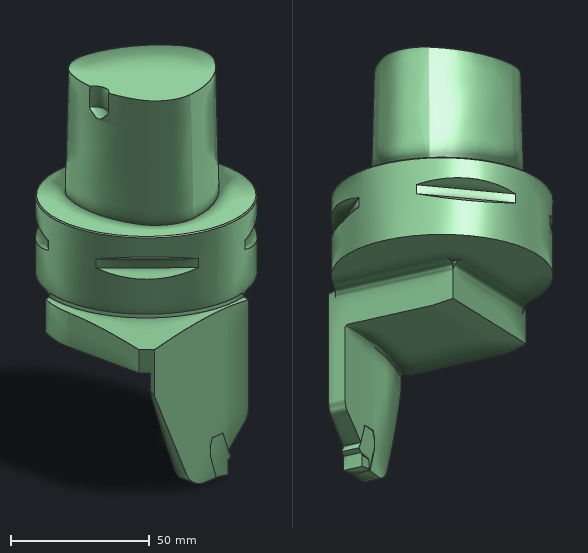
import cadquery as cq
import math


FLANGE_DIAMETER = 80.0
FLANGE_RADIUS = FLANGE_DIAMETER / 2
FLANGE_HEIGHT = 30.2
FLANGE_CHAMFER = 0.5

GROOVE_LEVEL = -12.2
GROOVE_DEPTH = 4.5
GROOVE_FLOOR_HEIGHT = 3.5
GROOVE_MOUTH_HEIGHT = 8.7
GROOVE_ANGLES = (45, 135, 225, 315)

SHANK_HEIGHT = 48.0
LOBE_COUNT = 3
LOBE_CENTRE_DISTANCE = 12.2
LOBE_BASE_RADIUS = 17.4
VALLEY_CENTRE_DISTANCE = 18.7
SHANK_TAPER_INSET = 1.2
KEY_RADIUS = 5.5
KEY_DEPTH = 8.1
KEY_AXIS_Y = -27.1

BRACKET_LEFT = -10.7
BRACKET_BACK = 10.2
BRACKET_FRONT = -43.5
BRACKET_RIGHT_BACK = 41.6
BRACKET_RIGHT_FRONT = 43.0
BRACKET_CORNER_CHAMFER = 4.0
BRACKET_BOTTOM = -45.5
BRACKET_LEFT_BOTTOM = -44.7
BRACKET_RISE_RUN = 8.7
FRONT_ARC_RADIUS = FLANGE_RADIUS
FRONT_ARC_CENTRE_X = 3.3
COLLAR_RADIUS = 40.6
COLLAR_HEIGHT = 1.2
CONE_OUTER_RADIUS = 61.0
CONE_ANGLE = 16.0
ROOT_FILLET = 3.8

BLADE_INNER_X = 34.2
BLADE_INNER_RADIUS = 116.1
BLADE_BOTTOM = -96.3
BLADE_FRONT = -40.5
BLADE_FRONT_CORNER_Z = -52.7
BLADE_FOOT_FRONT = -19.6
BLADE_BACK_CORNER_Z = -77.2
BLADE_BACK_END_Z = -88.0
BLADE_NOSE_RADIUS = 10.9
BLADE_BACK_RADIUS = 6.5
BLADE_ROOT_FILLET = 1.5

INSERT_TOP = -80.1
INSERT_BOTTOM = -97.0
INSERT_TIP_Y = -0.3
INSERT_FOOT_FRONT = -6.7
INSERT_TOP_BACK = -3.0
INSERT_TOP_FRONT = -8.7
INSERT_FRONT = -9.9
INSERT_FRONT_TOP = -83.0
INSERT_FRONT_BOTTOM = -86.6
INSERT_NECK_Y = 0.0
INSERT_NECK_Z = -88.1
INSERT_BEAK_Y = 1.2
INSERT_BEAK_Z = -90.3
INSERT_FACE_X = BLADE_INNER_X
TIP_PROUD = 0.5
TIP_FRONT = -5.2
TIP_TOP = -91.5
TIP_SLOPE_HEIGHT = 1.2


def point_at(distance, angle):
    """Point at a distance from the axis, with the angle in degrees from +X."""
    return (distance * math.cos(math.radians(angle)), distance * math.sin(math.radians(angle)))


def shank_profile(height, inset):
    """Rounded triangle of tangent lobe and valley arcs, with one lobe toward +Y."""
    step = 360 / LOBE_COUNT
    lobe_radius = LOBE_BASE_RADIUS - inset
    lobe_x, lobe_y = point_at(LOBE_CENTRE_DISTANCE, 90 - step)
    centre_gap = math.hypot(lobe_x, lobe_y - VALLEY_CENTRE_DISTANCE)
    stretch = lobe_radius / centre_gap
    seam_x = lobe_x * (1 + stretch)
    seam_y = lobe_y + stretch * (lobe_y - VALLEY_CENTRE_DISTANCE)
    seam_distance = math.hypot(seam_x, seam_y)
    half_valley = math.degrees(math.atan2(seam_x, -seam_y))
    valley_distance = lobe_radius + centre_gap - VALLEY_CENTRE_DISTANCE

    profile = cq.Workplane("XY", origin=(0, 0, height))
    profile = profile.moveTo(*point_at(seam_distance, 270 - half_valley))
    for index in range(LOBE_COUNT):
        valley = 270 + index * step
        profile = profile.threePointArc(
            point_at(valley_distance, valley), point_at(seam_distance, valley + half_valley)
        )
        profile = profile.threePointArc(
            point_at(LOBE_CENTRE_DISTANCE + lobe_radius, valley + step / 2),
            point_at(seam_distance, valley + step - half_valley),
        )
    return profile.close().wire().val()


def make_shank():
    shank = cq.Workplane(
        cq.Solid.makeLoft([shank_profile(0, 0), shank_profile(SHANK_HEIGHT, SHANK_TAPER_INSET)], True)
    )
    floor = SHANK_HEIGHT - KEY_DEPTH
    keyway = (
        cq.Workplane("XZ")
        .polyline([
            (0, SHANK_HEIGHT),
            (KEY_RADIUS, SHANK_HEIGHT),
            (KEY_RADIUS, floor),
            (0, floor - KEY_RADIUS),
        ])
        .close()
        .revolve(360, (0, 0), (0, 1))
        .translate((0, KEY_AXIS_Y, 0))
    )
    return shank.cut(keyway)


def gripper_groove(angle):
    """Straight groove with flared flanks, across the flange rim."""
    floor_x = FLANGE_RADIUS - GROOVE_DEPTH
    half_floor = GROOVE_FLOOR_HEIGHT / 2
    half_mouth = GROOVE_MOUTH_HEIGHT / 2
    return (
        cq.Workplane("XZ")
        .polyline([
            (floor_x, GROOVE_LEVEL - half_floor),
            (FLANGE_RADIUS, GROOVE_LEVEL - half_mouth),
            (FLANGE_RADIUS, GROOVE_LEVEL + half_mouth),
            (floor_x, GROOVE_LEVEL + half_floor),
        ])
        .close()
        .extrude(FLANGE_RADIUS, both=True)
        .rotate((0, 0, 0), (0, 0, 1), angle)
    )


def make_flange():
    flange = (
        cq.Workplane("XY")
        .circle(FLANGE_RADIUS)
        .extrude(-FLANGE_HEIGHT)
        .faces(">Z")
        .chamfer(FLANGE_CHAMFER)
    )
    for angle in GROOVE_ANGLES:
        flange = flange.cut(gripper_groove(angle))
    return flange


def bracket_plan(depth):
    """Plan outline of the bracket, extruded down from the underside of the flange."""
    arc_centre_y = BRACKET_FRONT + FRONT_ARC_RADIUS
    arc_end_angle = math.acos((BRACKET_LEFT - FRONT_ARC_CENTRE_X) / FRONT_ARC_RADIUS)
    arc_mid_angle = (arc_end_angle + math.pi / 2) / 2
    arc_middle = (
        FRONT_ARC_CENTRE_X + FRONT_ARC_RADIUS * math.cos(arc_mid_angle),
        arc_centre_y - FRONT_ARC_RADIUS * math.sin(arc_mid_angle),
    )
    arc_end = (BRACKET_LEFT, arc_centre_y - FRONT_ARC_RADIUS * math.sin(arc_end_angle))
    return (
        cq.Workplane("XY", origin=(0, 0, -FLANGE_HEIGHT))
        .moveTo(BRACKET_LEFT, BRACKET_BACK)
        .lineTo(BRACKET_RIGHT_BACK, BRACKET_BACK)
        .lineTo(BRACKET_RIGHT_BACK, 0)
        .lineTo(BRACKET_RIGHT_FRONT, BRACKET_FRONT + BRACKET_CORNER_CHAMFER)
        .lineTo(BRACKET_RIGHT_FRONT - BRACKET_CORNER_CHAMFER, BRACKET_FRONT)
        .lineTo(FRONT_ARC_CENTRE_X, BRACKET_FRONT)
        .threePointArc(arc_middle, arc_end)
        .close()
        .extrude(-depth)
    )


def bracket_top_limit():
    """Body of revolution with a short collar and a conical top that falls away outward."""
    collar_bottom = -FLANGE_HEIGHT - COLLAR_HEIGHT
    cone_drop = (CONE_OUTER_RADIUS - COLLAR_RADIUS) * math.tan(math.radians(CONE_ANGLE))
    return (
        cq.Workplane("XZ")
        .polyline([
            (0, -FLANGE_HEIGHT),
            (FLANGE_RADIUS, -FLANGE_HEIGHT),
            (COLLAR_RADIUS, collar_bottom),
            (CONE_OUTER_RADIUS, collar_bottom - cone_drop),
            (CONE_OUTER_RADIUS, INSERT_BOTTOM),
            (0, INSERT_BOTTOM),
        ])
        .close()
        .revolve(360, (0, 0), (0, 1))
    )


def root_fillet_strips():
    """Concave fillets where the left and back bracket faces meet the flange underside."""
    def strip(plane, edge, outward, start, end):
        outer = edge + outward * ROOT_FILLET
        top = -FLANGE_HEIGHT
        bend = ROOT_FILLET * (1 - math.sqrt(0.5))
        return (
            cq.Workplane(plane)
            .moveTo(edge, top)
            .lineTo(outer, top)
            .threePointArc((edge + outward * bend, top - bend), (edge, top - ROOT_FILLET))
            .close()
            .extrude(end - start)
        )

    left = strip("XZ", BRACKET_LEFT, -1, BRACKET_FRONT, BRACKET_BACK).translate((0, BRACKET_BACK, 0))
    back = strip("YZ", BRACKET_BACK, 1, BRACKET_LEFT, FLANGE_RADIUS).translate((BRACKET_LEFT, 0, 0))
    under_flange = cq.Workplane("XY").circle(FLANGE_RADIUS).extrude(INSERT_BOTTOM)
    return left.union(back).intersect(under_flange)


def make_bracket():
    bracket = bracket_plan(-FLANGE_HEIGHT - BRACKET_BOTTOM).intersect(bracket_top_limit())
    relief = (
        cq.Workplane("XZ")
        .polyline([
            (BRACKET_LEFT, BRACKET_BOTTOM),
            (BRACKET_LEFT + BRACKET_RISE_RUN, BRACKET_BOTTOM),
            (BRACKET_LEFT, BRACKET_LEFT_BOTTOM),
        ])
        .close()
        .extrude(-BRACKET_FRONT, both=True)
    )
    return bracket.cut(relief).union(root_fillet_strips())


def blade_side_profile():
    """Side outline of the blade in the YZ plane, as a prism across the blade thickness."""
    span = BRACKET_RIGHT_FRONT
    prism = (
        cq.Workplane("YZ")
        .polyline([
            (BRACKET_BACK, BRACKET_BOTTOM),
            (BLADE_FRONT, BRACKET_BOTTOM),
            (BLADE_FRONT, BLADE_FRONT_CORNER_Z),
            (BLADE_FOOT_FRONT, BLADE_BOTTOM),
            (INSERT_TIP_Y, BLADE_BOTTOM),
            (INSERT_TIP_Y, BLADE_BACK_END_Z),
            (BRACKET_BACK, BLADE_BACK_CORNER_Z),
        ])
        .close()
        .extrude(span)
    )

    def round_edge(body, y, z, radius):
        nearest = cq.selectors.NearestToPointSelector((span / 2, y, z))
        return body.edges("|X").edges(nearest).fillet(radius)

    prism = round_edge(prism, BLADE_FOOT_FRONT, BLADE_BOTTOM, BLADE_NOSE_RADIUS)
    return round_edge(prism, BRACKET_BACK, BLADE_BACK_CORNER_Z, BLADE_BACK_RADIUS)


def inner_face_cylinder(radius):
    """Cylinder whose surface is the curved inner face of the blade."""
    return (
        cq.Workplane("XY", origin=(BLADE_INNER_X + BLADE_INNER_RADIUS, 0, INSERT_BOTTOM))
        .circle(radius)
        .extrude(-INSERT_BOTTOM)
    )


def make_blade():
    stock = bracket_plan(-FLANGE_HEIGHT - INSERT_BOTTOM)
    return stock.intersect(inner_face_cylinder(BLADE_INNER_RADIUS)).intersect(blade_side_profile())


def blade_root_fillet():
    """Concave fillet along the curved inner face, under the bracket."""
    centre_x = BLADE_INNER_X + BLADE_INNER_RADIUS
    bend = BLADE_ROOT_FILLET * (1 - math.sqrt(0.5))
    ring = (
        cq.Workplane("XZ")
        .moveTo(BLADE_INNER_RADIUS, BRACKET_BOTTOM)
        .lineTo(BLADE_INNER_RADIUS + BLADE_ROOT_FILLET, BRACKET_BOTTOM)
        .threePointArc(
            (BLADE_INNER_RADIUS + bend, BRACKET_BOTTOM - bend),
            (BLADE_INNER_RADIUS, BRACKET_BOTTOM - BLADE_ROOT_FILLET),
        )
        .close()
        .revolve(360, (0, 0), (0, 1))
        .translate((centre_x, 0, 0))
    )
    return ring.intersect(bracket_plan(-FLANGE_HEIGHT - INSERT_BOTTOM)).intersect(blade_side_profile())


def make_insert():
    """Cutting insert: a shaped plate through the blade, flush with its outer face, with a proud tip."""
    plate = (
        cq.Workplane("YZ", origin=(INSERT_FACE_X, 0, 0))
        .polyline([
            (INSERT_TOP_BACK, INSERT_TOP),
            (INSERT_TOP_FRONT, INSERT_TOP),
            (INSERT_FRONT, INSERT_FRONT_TOP),
            (INSERT_FRONT, INSERT_FRONT_BOTTOM),
            (INSERT_FOOT_FRONT, BLADE_BOTTOM),
            (TIP_FRONT, BLADE_BOTTOM),
            (INSERT_TIP_Y, INSERT_BOTTOM),
            (INSERT_TIP_Y, TIP_TOP),
            (INSERT_BEAK_Y, INSERT_BEAK_Z),
            (INSERT_NECK_Y, INSERT_NECK_Z),
        ])
        .close()
        .extrude(BRACKET_RIGHT_FRONT - INSERT_FACE_X)
        .intersect(bracket_plan(-FLANGE_HEIGHT - INSERT_BOTTOM))
    )
    tip_outline = (
        cq.Workplane("YZ", origin=(INSERT_FACE_X - TIP_PROUD, 0, 0))
        .polyline([
            (INSERT_TIP_Y, TIP_TOP),
            (INSERT_TIP_Y, INSERT_BOTTOM),
            (TIP_FRONT, BLADE_BOTTOM),
            (TIP_FRONT, TIP_TOP - TIP_SLOPE_HEIGHT),
        ])
        .close()
        .extrude(TIP_PROUD)
    )
    ramp = (
        cq.Workplane("XZ")
        .polyline([
            (INSERT_FACE_X, TIP_TOP),
            (INSERT_FACE_X - TIP_PROUD, TIP_TOP),
            (INSERT_FACE_X - TIP_PROUD, TIP_TOP - TIP_SLOPE_HEIGHT),
        ])
        .close()
        .extrude(-TIP_FRONT)
    )
    return plate.union(tip_outline.cut(ramp))


insert = make_insert()
holder = (
    make_flange()
    .union(make_shank())
    .union(make_bracket())
    .union(make_blade())
    .union(blade_root_fillet())
    .cut(insert)
)

result = cq.Compound.makeCompound([holder.solids().val(), insert.solids().val()])